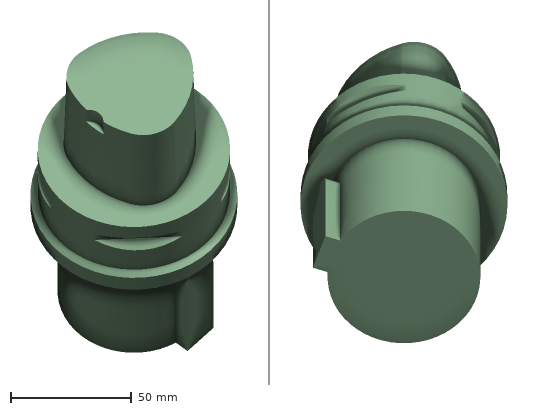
import cadquery as cq
import math

BODY_DIAMETER = 63.5
BODY_HEIGHT = 60.0
FLANGE_DIAMETER = 86.0
COLLAR_DIAMETER = 80.0
CHAMFER_TOP_Z = 70.0
COLLAR_TOP_Z = 100.0
TOTAL_HEIGHT = 148.0
FLANGE_CHAMFER_ANGLE = 30.0

SHANK_MEAN_RADIUS = 27.5
SHANK_ECCENTRICITY = 2.0
LOBE_RADIUS = 17.0
SHANK_TAPER = 1 / 40
LOBE_ANGLES = (90, 210, 330)
LOBE_TO_SIDE_ANGLE = 60

KEYWAY_RADIUS = 6.1
KEYWAY_FLOOR_RADIUS = 21.9
KEYWAY_DEPTH = 8.3

SLOT_ANGLES = (45, 135, 225, 315)
SLOT_CENTER_Z = 88.0
SLOT_FLOOR_DISTANCE = 35.6
SLOT_FLOOR_WIDTH = 3.8
SLOT_FLANK_ANGLE = 30.0

KEY_WIDTH = 16.0
KEY_TOP_Z = 54.0
KEY_OUTER_X = 37.25


def turned_body():
    """Revolved body, flange with conical top edge, and collar."""
    collar_radius = COLLAR_DIAMETER / 2
    flange_radius = FLANGE_DIAMETER / 2
    chamfer_height = (flange_radius - collar_radius) * math.tan(math.radians(FLANGE_CHAMFER_ANGLE))
    profile = [
        (0, 0),
        (BODY_DIAMETER / 2, 0),
        (BODY_DIAMETER / 2, BODY_HEIGHT),
        (flange_radius, BODY_HEIGHT),
        (flange_radius, CHAMFER_TOP_Z - chamfer_height),
        (collar_radius, CHAMFER_TOP_Z),
        (collar_radius, COLLAR_TOP_Z),
        (0, COLLAR_TOP_Z),
    ]
    return cq.Workplane("XZ").polyline(profile).close().revolve(360, (0, 0), (0, 1))


def polar(radius, angle):
    """Point at the given radius and angle in degrees."""
    return radius * math.cos(math.radians(angle)), radius * math.sin(math.radians(angle))


def shank_outline(workplane, inset):
    """Closed outline of tangent lobe and side arcs, moved inward by inset."""
    lobe_reach = SHANK_MEAN_RADIUS + SHANK_ECCENTRICITY
    side_reach = SHANK_MEAN_RADIUS - SHANK_ECCENTRICITY
    spread = lobe_reach - side_reach
    lobe_offset = lobe_reach - LOBE_RADIUS
    side_offset = spread * (2 * lobe_offset - spread) / (lobe_offset - 2 * spread)
    side_radius = side_reach + side_offset - inset

    across = lobe_offset * math.sin(math.radians(LOBE_TO_SIDE_ANGLE))
    along = side_offset + lobe_offset * math.cos(math.radians(LOBE_TO_SIDE_ANGLE))
    half_side = math.degrees(math.atan2(across, along))

    def tangent_point(side_angle, swing):
        center = polar(side_offset, side_angle + 180)
        arm = polar(side_radius, side_angle + swing)
        return center[0] + arm[0], center[1] + arm[1]

    first_side = LOBE_ANGLES[0] - LOBE_TO_SIDE_ANGLE
    outline = workplane.moveTo(*tangent_point(first_side, half_side))
    for lobe_angle in LOBE_ANGLES:
        side_angle = lobe_angle + LOBE_TO_SIDE_ANGLE
        outline = outline.threePointArc(
            polar(lobe_reach - inset, lobe_angle), tangent_point(side_angle, -half_side)
        )
        outline = outline.threePointArc(
            polar(side_reach - inset, side_angle), tangent_point(side_angle, half_side)
        )
    return outline.close()


def polygon_shank():
    """Shank lofted from its full size at the collar to its reduced top."""
    height = TOTAL_HEIGHT - COLLAR_TOP_Z
    base = shank_outline(cq.Workplane("XY").workplane(offset=COLLAR_TOP_Z), 0)
    return shank_outline(base.workplane(offset=height), height * SHANK_TAPER).loft(ruled=True)


def keyway_cutter():
    """Vertical cylinder that cuts the keyway into the shank."""
    return (
        cq.Workplane("XY")
        .workplane(offset=TOTAL_HEIGHT - KEYWAY_DEPTH)
        .center(0, -(KEYWAY_FLOOR_RADIUS + KEYWAY_RADIUS))
        .circle(KEYWAY_RADIUS)
        .extrude(KEYWAY_DEPTH)
    )


def slot_cutter(angle):
    """Straight trapezoidal groove across the collar, facing outward at the given angle."""
    outer_distance = FLANGE_DIAMETER / 2
    flank_rise = (outer_distance - SLOT_FLOOR_DISTANCE) * math.tan(math.radians(SLOT_FLANK_ANGLE))
    half_floor = SLOT_FLOOR_WIDTH / 2
    half_mouth = half_floor + flank_rise
    section = [
        (SLOT_FLOOR_DISTANCE, SLOT_CENTER_Z - half_floor),
        (outer_distance, SLOT_CENTER_Z - half_mouth),
        (outer_distance, SLOT_CENTER_Z + half_mouth),
        (SLOT_FLOOR_DISTANCE, SLOT_CENTER_Z + half_floor),
    ]
    groove = cq.Workplane("XZ").polyline(section).close().extrude(COLLAR_DIAMETER / 2, both=True)
    return groove.rotate((0, 0, 0), (0, 0, 1), angle)


def drive_key():
    """Key with a half-round top, reaching from the axis so that it joins the body."""
    half_width = KEY_WIDTH / 2
    straight_height = KEY_TOP_Z - half_width
    return (
        cq.Workplane("YZ")
        .moveTo(-half_width, 0)
        .lineTo(half_width, 0)
        .lineTo(half_width, straight_height)
        .threePointArc((0, KEY_TOP_Z), (-half_width, straight_height))
        .close()
        .extrude(KEY_OUTER_X)
    )


result = turned_body().union(polygon_shank()).union(drive_key())
result = result.cut(keyway_cutter())
for slot_angle in SLOT_ANGLES:
    result = result.cut(slot_cutter(slot_angle))